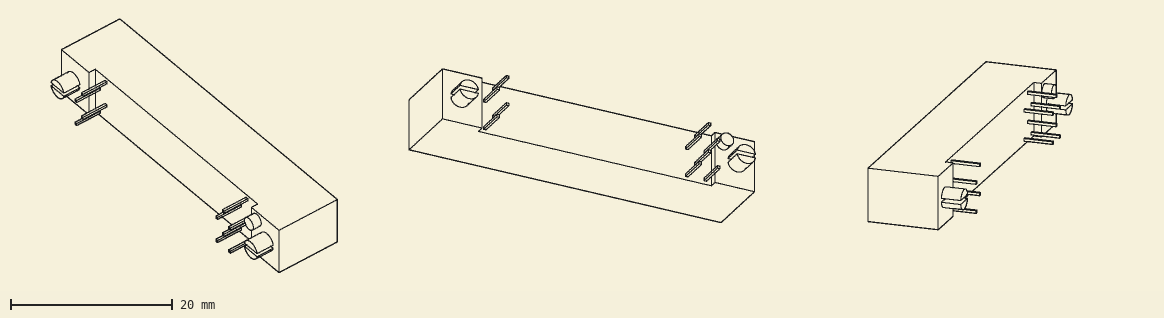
import cadquery as cq

body_length = 43.15
body_depth = 9.25
body_height = 7.0

foot_length = 5.5
recess_depth = 1.0
recess_length = body_length - 2 * foot_length

peg_diameter = 2.6
peg_length = 2.55
peg_slot_width = 0.5
peg_offset = 19.15
peg_positions = (-peg_offset, peg_offset)
hole_diameter = 0.78

stud_diameter = 1.75
stud_length = 1.25
stud_x = 17.17
stud_z = 2.2

pin_width = 0.35
pin_reach = 2.75
pin_length = pin_reach + recess_depth
column_span = 30.45
pitches_in_span = 24
column_pitch = column_span / pitches_in_span
row_pitch = 1.5 * column_pitch
row_count = 4
outer_column = column_span / 2
middle_column = outer_column - column_pitch
inner_column = middle_column - column_pitch
rows = [(i - (row_count - 1) / 2) * row_pitch for i in range(row_count)]
even_row_columns = (-outer_column, inner_column, outer_column)
odd_row_columns = (-middle_column, middle_column)
pin_positions = [(x, z) for x in even_row_columns for z in rows[0::2]]
pin_positions += [(x, z) for x in odd_row_columns for z in rows[1::2]]


def front_plane(y=0.0):
    """Workplane at depth y whose normal points toward -Y, with local axes X and Z."""
    return cq.Workplane("XZ", origin=(0, y, 0))


def housing():
    block = front_plane().rect(body_length, body_height).extrude(-body_depth)
    recess = front_plane().rect(recess_length, body_height).extrude(-recess_depth)
    holes = (
        front_plane()
        .pushPoints([(x, 0) for x in peg_positions])
        .circle(hole_diameter / 2)
        .extrude(-body_depth)
    )
    return block.cut(recess).cut(holes)


def split_peg(x):
    peg = front_plane().center(x, 0).circle(peg_diameter / 2).extrude(peg_length)
    slot = front_plane().center(x, 0).rect(peg_diameter, peg_slot_width).extrude(peg_length)
    return peg.cut(slot)


def keying_stud():
    return front_plane().center(stud_x, stud_z).circle(stud_diameter / 2).extrude(stud_length)


def contact_pins():
    return (
        front_plane(recess_depth)
        .pushPoints(pin_positions)
        .rect(pin_width, pin_width)
        .extrude(pin_length)
    )


result = housing().union(keying_stud()).union(contact_pins())
for peg_x in peg_positions:
    result = result.union(split_peg(peg_x))